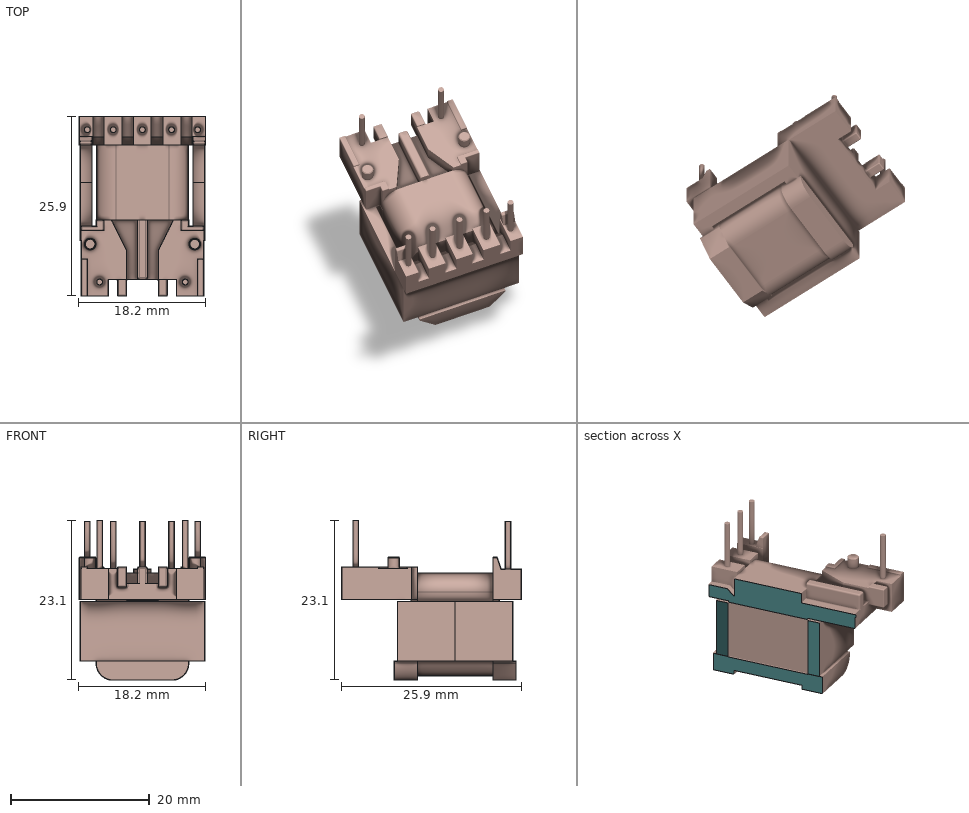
import cadquery as cq


taped_half_width = 9.03
taped_half_length = 8.33
tape_thickness = 0.08
core_half_width = taped_half_width - tape_thickness
core_front_length = taped_half_length
core_rear_length = taped_half_length - tape_thickness
core_half_height = 4.3
core_window_half_width = 7.27
core_window_half_length = 6.39
center_leg_half_width = 2.23

tunnel_half_width = 2.28
tunnel_half_height = 4.4
winding_half_length = 5.43
flange_half_width = 6.7
foot_half_length = 8.8
foot_corner = 2.47
foot_bottom = -7.05

winding_half_width = 6.62
winding_top = 8.44
winding_bottom = -6.45
winding_corner = 2.78

header_bottom = 4.6
pin_radius = 0.42

rear_header_half_width = 18.25 / 2
rear_header_end = 9.55
rear_header_top = 8.98
rear_pin_positions = [-7.97, -4.2, 0.0, 4.2, 7.97]
rear_pin_y = 7.63
rear_pin_top = 15.85
slot_spans = [(-7.16, -5.58), (-2.95, -1.27), (1.27, 2.95), (5.58, 7.16)]
slot_floor = 6.6
slot_lip = 5.58
slot_slope_start = 6.57
tower_inner = 7.27
tower_top = 10.72
tower_top_y = 6.05
tower_foot_y = 6.65
tower_fillet = 0.18

front_header_half_width = 8.85
front_header_end = -16.4
front_header_top = 9.09
front_neck_half_width = 6.65
front_shoulder_y = -6.28
bay_half_width = 4.9
bay_back_y = -14.0
channel_half_width = 2.28
channel_mouth_half_width = 4.47
channel_taper_end = -9.8
channel_floor = 6.93
front_pin_x = 6.18
front_pin_y = -14.35
front_pin_top = 16.02
ridge_top = 9.32

center_ridge_half_width = 0.7
center_ridge_fillet = 0.25
guard_inner = channel_half_width
guard_outer = 3.58
guard_bottom = 6.39
guard_fillet = 0.15
guard_root_fillet = 0.18
root_margin = 0.03
rim_fillet = 0.1
corner_rim_inner = 5.58
corner_rim_front = -6.93
side_rim_inner = 7.95
side_rim_back = -11.0
peg_x = 7.55
peg_y = -8.88
peg_radius = 0.83
peg_top = 10.75
peg_chamfer = 0.13


def block(x0, x1, y0, y1, z0, z1):
    """Box between two opposite corners."""
    return cq.Workplane("XY").box(x1 - x0, y1 - y0, z1 - z0, centered=False).translate((x0, y0, z0))


def centered_block(half_width, y0, y1, z0, z1):
    """Box symmetric about X = 0."""
    return block(-half_width, half_width, y0, y1, z0, z1)


def both_sides(shape):
    """The shape together with its mirror image across X = 0."""
    return shape.union(shape.mirror("YZ"))


def upright_pin(x, y, bottom, top, radius):
    return cq.Workplane("XY", origin=(x, y, bottom)).circle(radius).extrude(top - bottom)


def make_core_half(length):
    """E-shaped half core reaching from the joint to the given length along +Y."""
    back = centered_block(core_half_width, 0, length, -core_half_height, core_half_height)
    window = centered_block(
        core_window_half_width, 0, core_window_half_length, -core_half_height, core_half_height
    )
    leg = centered_block(
        center_leg_half_width, 0, core_window_half_length, -core_half_height, core_half_height
    )
    return back.cut(window).union(leg)


def make_tape():
    """U-shaped strip wrapped tightly around the core."""
    outside = centered_block(
        taped_half_width, -taped_half_length, taped_half_length, -core_half_height, core_half_height
    )
    core_space = centered_block(
        core_half_width, -core_front_length, core_rear_length, -core_half_height, core_half_height
    )
    return outside.cut(core_space)


def make_winding():
    """Solid winding envelope between the flanges; the tunnel is cut later."""
    return centered_block(
        winding_half_width, -winding_half_length, winding_half_length, winding_bottom, winding_top
    ).edges("|Y").fillet(winding_corner)


def make_flange(side):
    """Flange wall inside the core window with a foot reaching under the core."""
    wall = centered_block(
        flange_half_width, winding_half_length, core_window_half_length, foot_bottom, header_bottom
    )
    foot = centered_block(
        flange_half_width, winding_half_length, foot_half_length, foot_bottom, -core_half_height
    )
    flange = wall.union(foot)
    lower_corners = flange.edges("|Y and <Z")
    if side > 0:
        return lower_corners.chamfer(foot_corner)
    return lower_corners.fillet(foot_corner).mirror("XZ")


def make_tower():
    """Tall sloped tower at the -X end of the rear header."""
    profile = [
        (winding_half_length, header_bottom),
        (tower_foot_y, header_bottom),
        (tower_foot_y, rear_header_top),
        (tower_top_y, tower_top),
        (winding_half_length, tower_top),
    ]
    tower = (
        cq.Workplane("YZ", origin=(-rear_header_half_width, 0, 0))
        .polyline(profile)
        .close()
        .extrude(rear_header_half_width - tower_inner)
    )
    return tower.faces(">Z").edges().fillet(tower_fillet)


def make_slot(x0, x1):
    """Wire slot open at both ends, with a floor that slopes down to the winding."""
    profile = [
        (winding_half_length, slot_lip),
        (slot_slope_start, slot_floor),
        (rear_header_end, slot_floor),
        (rear_header_end, rear_header_top),
        (winding_half_length, rear_header_top),
    ]
    return cq.Workplane("YZ", origin=(x0, 0, 0)).polyline(profile).close().extrude(x1 - x0)


def make_rear_header():
    header = centered_block(
        rear_header_half_width, winding_half_length, rear_header_end, header_bottom, rear_header_top
    )
    for x0, x1 in slot_spans:
        header = header.cut(make_slot(x0, x1))
    header = header.union(both_sides(make_tower()))
    for x in rear_pin_positions:
        header = header.union(upright_pin(x, rear_pin_y, slot_floor, rear_pin_top, pin_radius))
    return header


def make_channel():
    """Central channel, flared towards the winding."""
    outline = [
        (channel_mouth_half_width, -winding_half_length),
        (channel_half_width, channel_taper_end),
        (channel_half_width, bay_back_y),
        (-channel_half_width, bay_back_y),
        (-channel_half_width, channel_taper_end),
        (-channel_mouth_half_width, -winding_half_length),
    ]
    return (
        cq.Workplane("XY", origin=(0, 0, channel_floor))
        .polyline(outline)
        .close()
        .extrude(front_header_top - channel_floor)
    )


def make_center_ridge():
    ridge = centered_block(
        center_ridge_half_width, bay_back_y, -winding_half_length, channel_floor, ridge_top
    )
    return ridge.edges("(|Z and <Y) or (>Z and (not >Y))").fillet(center_ridge_fillet)


def make_guard():
    """Guard post standing out of the bay's back wall on the -X side."""
    guard = block(-guard_outer, -guard_inner, front_header_end, bay_back_y, guard_bottom, ridge_top)
    return guard.edges("<Y or (|Y)").fillet(guard_fillet)


def add_guard(header):
    """Add the -X guard to the header and round the inside corner along its root."""
    root_edges = cq.selectors.BoxSelector(
        (-guard_outer - root_margin, bay_back_y - root_margin, guard_bottom - root_margin),
        (-guard_inner + root_margin, bay_back_y + root_margin, front_header_top - root_margin),
    )
    return header.union(make_guard()).edges(root_edges).fillet(guard_root_fillet)


def make_corner_rim():
    """L-shaped raised rim at the -X shoulder of the front header."""
    outline = [
        (-front_header_half_width, front_shoulder_y),
        (-front_neck_half_width, front_shoulder_y),
        (-front_neck_half_width, -winding_half_length),
        (-corner_rim_inner, -winding_half_length),
        (-corner_rim_inner, corner_rim_front),
        (-front_header_half_width, corner_rim_front),
    ]
    rim = (
        cq.Workplane("XY", origin=(0, 0, front_header_top))
        .polyline(outline)
        .close()
        .extrude(ridge_top - front_header_top)
    )
    return rim.faces(">Z").edges().fillet(rim_fillet)


def make_side_rim():
    rim = block(
        -front_header_half_width, -side_rim_inner,
        front_header_end, side_rim_back,
        front_header_top, ridge_top,
    )
    return rim.faces(">Z").edges("not <Y").fillet(rim_fillet)


def make_peg():
    peg = upright_pin(-peg_x, peg_y, front_header_top, peg_top, peg_radius)
    return peg.faces(">Z").chamfer(peg_chamfer)


def make_front_header():
    """Front header, finished on its -X half and then mirrored."""
    header = centered_block(
        front_header_half_width, front_header_end, front_shoulder_y, header_bottom, front_header_top
    )
    neck = centered_block(
        front_neck_half_width, front_shoulder_y, -winding_half_length, header_bottom, front_header_top
    )
    bay = centered_block(
        bay_half_width, front_header_end, bay_back_y, header_bottom, front_header_top
    )
    header = add_guard(header.union(neck).cut(bay).cut(make_channel()))
    pin = upright_pin(-front_pin_x, front_pin_y, channel_floor, front_pin_top, pin_radius)
    for detail in (make_corner_rim(), make_side_rim(), make_peg(), pin):
        header = header.union(detail)
    minus_x_side = block(
        -front_header_half_width, 0,
        front_header_end, -winding_half_length,
        header_bottom, front_pin_top,
    )
    header = header.intersect(minus_x_side)
    return both_sides(header).union(make_center_ridge())


def make_bobbin():
    bobbin = make_winding()
    for part in (make_flange(1), make_flange(-1), make_rear_header(), make_front_header()):
        bobbin = bobbin.union(part)
    tunnel = centered_block(
        tunnel_half_width,
        -core_window_half_length,
        core_window_half_length,
        -tunnel_half_height,
        tunnel_half_height,
    )
    return bobbin.cut(tunnel)


bobbin = make_bobbin()
tape = make_tape()
rear_core = make_core_half(core_rear_length)
front_core = make_core_half(core_front_length).mirror("XZ")

result = cq.Compound.makeCompound([bobbin.val(), tape.val(), rear_core.val(), front_core.val()])